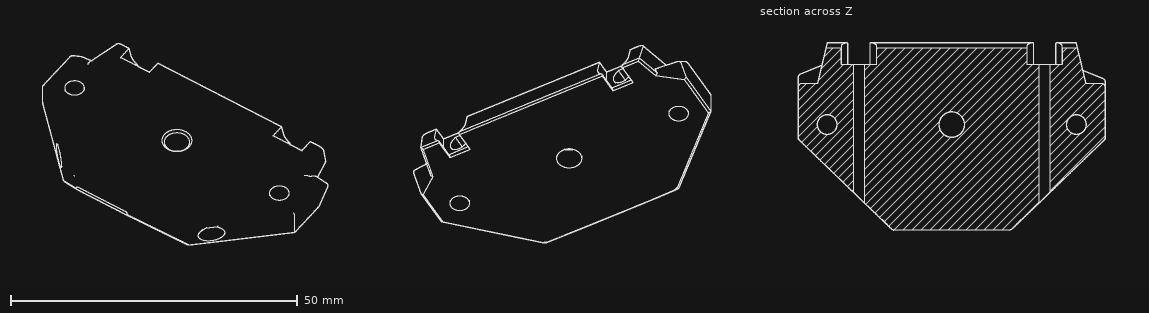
import cadquery as cq
import math

PLATE_THICKNESS = 5.18
TOTAL_HEIGHT = 10.6
HALF_WIDTH = 53.59 / 2
BACK_Y = 14.41
BACK_TOP_Y = 13.1
BOTTOM_CHAMFER = 0.4
SIDE_RADIUS = 0.5

PROW_FOOT_Y = -15.3
PROW_TIP_Y = -23.53
PROW_RUN = PROW_FOOT_Y - PROW_TIP_Y
PROW_FACE_LENGTH = math.hypot(PROW_RUN, TOTAL_HEIGHT)
PROW_TIP_CHAMFER = 0.6
PROW_SIDE_CHAMFER = 0.15

DIAGONAL_START_Y = -2.55
TIP_HALF_WIDTH = 5.05

RAMP_SLOPE = 45
RAMP_FOOT_Y = -14.44
RAMP_FOOT_HALF_WIDTH = 12.5
RAMP_RISE = TOTAL_HEIGHT - PLATE_THICKNESS
RAMP_LENGTH = 40.0
RAMP_RADIUS = 3.0

LEFT = -1
RIGHT = 1
SIDES = (LEFT, RIGHT)
FLANK_BACK_X = 21.7
FLANK_LEAN = 0.24
SHOULDER_RADIUS = 1.0
WING_TOP_Y = 6.1
WING_BOTTOM_Y = {LEFT: 6.1, RIGHT: 4.5}
WING_UNDERCUT_SKEW = 0.81
LOWEST_WING_TIP = (PLATE_THICKNESS + WING_TOP_Y - max(WING_BOTTOM_Y.values())) / 2 - 0.05

CENTRE_HOLE_DIAMETER = 4.4
CENTRE_HOLE_CHAMFER = 0.4
SMALL_HOLE_DIAMETER = 3.4
MOUNT_HOLE_X = 21.75
SCREW_X = 16.2
SCREW_Z = 2.6
SCREW_HEAD_DIAMETER = 6.1
SCREW_SEAT_Y = 10.5

REACH = 60.0
TOLERANCE = 0.02


def half_space(origin, normal):
    """Large block that fills the side of a plane its normal points to."""
    plane = cq.Plane(origin=origin, normal=normal)
    return cq.Workplane(plane).rect(2 * REACH, 2 * REACH).extrude(REACH)


def lies_on(edge, test):
    """Whether the start, middle and end points of an edge all pass the test."""
    return all(test(edge.positionAt(fraction)) for fraction in (0, 0.5, 1))


def edges_where(shape, test):
    return shape.newObject([edge for edge in shape.edges().vals() if lies_on(edge, test)])


def diagonal_half_width(y):
    """Distance from the centre plane to a diagonal side."""
    widening = (HALF_WIDTH - TIP_HALF_WIDTH) / (DIAGONAL_START_Y - PROW_TIP_Y)
    return TIP_HALF_WIDTH + (y - PROW_TIP_Y) * widening


def on_diagonal(point):
    return abs(abs(point.x) - diagonal_half_width(point.y)) < TOLERANCE


def on_prow_face(point):
    return abs(point.y - PROW_FOOT_Y + point.z * PROW_RUN / TOTAL_HEIGHT) < TOLERANCE


def on_plate_top(point):
    return abs(point.z - PLATE_THICKNESS) < TOLERANCE


def on_ramp_foot(point):
    near_ramp = abs(point.x) < RAMP_FOOT_HALF_WIDTH + TOLERANCE and abs(point.y) < REACH - TOLERANCE
    return on_plate_top(point) and near_ramp


def on_upper_side(point):
    """Upper rim of the side walls: the wing ends, the plate and the ramp."""
    if point.y > DIAGONAL_START_Y + TOLERANCE:
        return abs(abs(point.x) - HALF_WIDTH) < TOLERANCE and point.z > LOWEST_WING_TIP
    return on_diagonal(point) and point.z > PLATE_THICKNESS - TOLERANCE


def on_prow_side(point):
    return on_prow_face(point) and on_diagonal(point)


def on_shoulder(point):
    """Top edges of the tab flanks and of the wing end bevels."""
    beside_tab = abs(point.x) > FLANK_BACK_X - TOLERANCE and point.y > WING_TOP_Y - TOLERANCE
    return on_plate_top(point) and beside_tab


def on_underside(point):
    return abs(point.z) < TOLERANCE


def on_wing_undercut(point):
    """Slanting bottom edge where a wing undercut meets the underside."""
    bottom_y = WING_BOTTOM_Y[RIGHT if point.x > 0 else LEFT]
    return abs(point.y - bottom_y - WING_UNDERCUT_SKEW * (HALF_WIDTH - abs(point.x))) < TOLERANCE


def bottom_rim(shape):
    """Bottom edges except the prow foot and the wing undercuts."""
    underside = edges_where(shape, on_underside)
    chosen = [
        edge
        for edge in underside.vals()
        if not lies_on(edge, on_prow_face) and not lies_on(edge, on_wing_undercut)
    ]
    return shape.newObject(chosen)


def make_slab():
    """Flat plate, wider and longer than the part, with the ramp blended onto its top."""
    slab = cq.Workplane("XY").box(2 * REACH, 2 * REACH, PLATE_THICKNESS, centered=(True, True, False))
    ramp = (
        cq.Workplane("XY", origin=(0, RAMP_FOOT_Y - RAMP_LENGTH / 2, PLATE_THICKNESS))
        .rect(2 * RAMP_FOOT_HALF_WIDTH, RAMP_LENGTH)
        .extrude(RAMP_RISE, taper=RAMP_SLOPE)
    )
    ramp = ramp.edges("not #Z").edges(">Y").fillet(RAMP_RADIUS)
    ramp = ramp.faces(">Z").edges("not <Y").fillet(RAMP_RADIUS)
    return edges_where(slab.union(ramp), on_ramp_foot).edges("not <Y").fillet(RAMP_RADIUS)


def make_envelope():
    """Outline in plan, cut by the sloping back, the overhanging prow."""
    half = [(TIP_HALF_WIDTH, PROW_TIP_Y), (HALF_WIDTH, DIAGONAL_START_Y), (HALF_WIDTH, BACK_Y)]
    mirrored = [(-x, y) for x, y in reversed(half)]
    plan = cq.Workplane("XY").polyline(half + mirrored).close().extrude(TOTAL_HEIGHT)
    back = half_space((0, BACK_Y, 0), (0, PLATE_THICKNESS, BACK_Y - BACK_TOP_Y))
    prow = half_space((0, PROW_FOOT_Y, 0), (0, -TOTAL_HEIGHT, -PROW_RUN))
    return plan.cut(back).cut(prow)


def tip_cutter():
    """Space in front of the equal-legged chamfer that blunts the prow tip."""
    normal = (0, -TOTAL_HEIGHT / PROW_FACE_LENGTH, 1 - PROW_RUN / PROW_FACE_LENGTH)
    return half_space((0, PROW_TIP_Y + PROW_TIP_CHAMFER, TOTAL_HEIGHT), normal)


def wing_notch(side):
    """Space beside the back tab, down to the two bevels that point the wing end."""
    outline = [
        (side * FLANK_BACK_X, BACK_Y),
        (side * (FLANK_BACK_X + FLANK_LEAN * BACK_Y), 0),
        (side * REACH, 0),
        (side * REACH, BACK_Y),
    ]
    beside_tab = cq.Workplane("XY").polyline(outline).close().extrude(PLATE_THICKNESS)
    above = half_space((0, WING_TOP_Y, PLATE_THICKNESS), (0, 1, 1))
    below = half_space((side * HALF_WIDTH, WING_BOTTOM_Y[side], 0), (side * WING_UNDERCUT_SKEW, 1, -1))
    return beside_tab.intersect(above.union(below))


def screw_head_slot(side):
    """Round-bottomed slot in the back edge, open at the top."""
    depth = BACK_Y - SCREW_SEAT_Y
    axis = cq.Workplane("XZ", origin=(side * SCREW_X, BACK_Y, SCREW_Z))
    seat = axis.circle(SCREW_HEAD_DIAMETER / 2).extrude(depth)
    opening = (
        axis.center(0, PLATE_THICKNESS / 2).rect(SCREW_HEAD_DIAMETER, PLATE_THICKNESS).extrude(depth)
    )
    return seat.union(opening)


def screw_hole(side):
    """Lengthwise hole with a flat-topped teardrop section."""
    radius = SMALL_HOLE_DIAMETER / 2
    tangent = radius * math.sin(math.pi / 4)
    roof_half_width = radius * math.tan(math.pi / 8)
    roof = [
        (-tangent, tangent),
        (-roof_half_width, radius),
        (roof_half_width, radius),
        (tangent, tangent),
    ]
    axis = cq.Workplane("XZ", origin=(side * SCREW_X, BACK_Y, SCREW_Z))
    bore = axis.circle(radius).extrude(REACH)
    return bore.union(axis.polyline(roof).close().extrude(REACH))


def mount_hole(side):
    hole = cq.Workplane("XY", origin=(side * MOUNT_HOLE_X, 0, 0))
    return hole.circle(SMALL_HOLE_DIAMETER / 2).extrude(PLATE_THICKNESS)


def centre_hole():
    """Through hole with a chamfered top rim."""
    radius = CENTRE_HOLE_DIAMETER / 2
    section = [
        (0, 0),
        (radius, 0),
        (radius, PLATE_THICKNESS - CENTRE_HOLE_CHAMFER),
        (radius + CENTRE_HOLE_CHAMFER, PLATE_THICKNESS),
        (0, PLATE_THICKNESS),
    ]
    return cq.Workplane("XZ").polyline(section).close().revolve(360, (0, 0), (0, 1))


def make_body():
    """Plate and ramp with shaped outline and all broken edges."""
    body = make_slab().intersect(make_envelope())
    for side in SIDES:
        body = body.cut(wing_notch(side))
    body = edges_where(body, on_shoulder).fillet(SHOULDER_RADIUS)
    body = edges_where(body, on_upper_side).fillet(SIDE_RADIUS)
    body = edges_where(body, on_prow_side).chamfer(PROW_SIDE_CHAMFER).cut(tip_cutter())
    for side in SIDES:
        body = body.cut(screw_head_slot(side))
    return bottom_rim(body).chamfer(BOTTOM_CHAMFER)


result = make_body().cut(centre_hole())
for side in SIDES:
    result = result.cut(screw_hole(side)).cut(mount_hole(side))